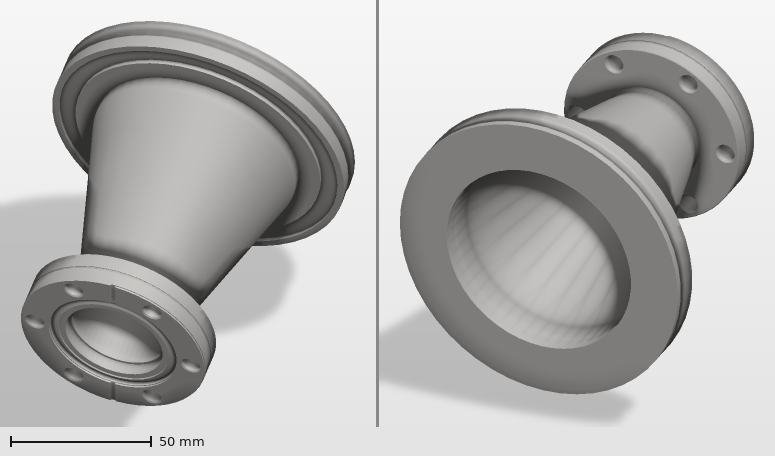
import cadquery as cq
import math

total_length = 103.7
wall = 1.6

small_bore_d = 34.8
large_bore_d = 72.9
small_tube_d = small_bore_d + 2 * wall
large_tube_d = large_bore_d + 2 * wall
small_corner_y = 15.5
large_corner_y = 87.7
bend_radius = 8.8
socket_clearance_d = 0.2

bolted_d = 69.3
bolted_thickness = 12.6
bolted_bore_d = 36.6
small_socket_d = 38.4
small_socket_floor_y = 5.8
gasket_recess_d = 48.3
gasket_entry_depth = 0.7
gasket_lower_d = 47.6
gasket_recess_depth = 2.2
knife_d = 41.6
knife_inner_d = 41.1
knife_tip_depth = 0.8
knife_step = 0.4
rim_groove_start_y = 5.9
rim_groove_width = 0.9
rim_groove_depth = 0.2
bolt_count = 6
bolt_circle_d = 58.7
bolt_hole_d = 6.7
bolt_hole_chamfer = 0.4
leak_slot_width = 2.2
leak_slot_depth = 0.7
rim_step_height = 0.7
rim_step_width = 0.3
back_chamfer = 0.3

clamp_d = 110.0
clamp_face_y = 92.0
face_ring_outer_d = 104.9
face_ring_inner_d = 92.2
face_ring_recess = 1.3
boss_height = 0.3
large_socket_depth = 4.4
clamp_groove_offset = 4.7
clamp_groove_half_width = 2.6
clamp_groove_depth = 1.2


def turned(profile):
    """Revolve a closed (radius, y) profile about the Y axis."""
    return profile.close().revolve(360, (0, 0, 0), (0, 1, 0))


def disc(diameter, start_y, end_y):
    """Solid cylinder on the Y axis."""
    return (
        cq.Workplane("XZ", origin=(0, start_y, 0))
        .circle(diameter / 2)
        .extrude(start_y - end_y)
    )


def cone_body(small_r, large_r, small_y, large_y, small_bend, large_bend, start_y, end_y):
    """Solid with straight ends, a cone between them and a tangent bend at each corner."""
    angle = math.atan2(large_r - small_r, large_y - small_y)
    small_tangent = small_bend * math.tan(angle / 2)
    large_tangent = large_bend * math.tan(angle / 2)
    along_r = math.sin(angle)
    along_y = math.cos(angle)
    return turned(
        cq.Workplane("XY")
        .moveTo(0, start_y)
        .lineTo(small_r, start_y)
        .lineTo(small_r, small_y - small_tangent)
        .tangentArcPoint(
            (small_r + small_tangent * along_r, small_y + small_tangent * along_y), relative=False
        )
        .lineTo(large_r - large_tangent * along_r, large_y - large_tangent * along_y)
        .tangentArcPoint((large_r, large_y + large_tangent), relative=False)
        .lineTo(large_r, end_y)
        .lineTo(0, end_y)
    )


def make_tube():
    start_y = small_socket_floor_y
    end_y = clamp_face_y + large_socket_depth
    cone_angle = math.atan2((large_tube_d - small_tube_d) / 2, large_corner_y - small_corner_y)
    corner_shift = wall * math.tan(cone_angle / 2)
    outside = cone_body(
        small_tube_d / 2, large_tube_d / 2, small_corner_y, large_corner_y,
        bend_radius, bend_radius, start_y, end_y,
    )
    inside = cone_body(
        small_bore_d / 2, large_bore_d / 2, small_corner_y + corner_shift, large_corner_y + corner_shift,
        bend_radius + wall, bend_radius - wall, start_y, end_y,
    )
    return outside.cut(inside)


def make_gasket_seat():
    """Recess cutter whose sloping floor rises to the knife edge around the bore."""
    return turned(
        cq.Workplane("XY")
        .moveTo(0, 0)
        .lineTo(gasket_recess_d / 2, 0)
        .lineTo(gasket_recess_d / 2, gasket_entry_depth)
        .lineTo(gasket_lower_d / 2, gasket_entry_depth)
        .lineTo(gasket_lower_d / 2, gasket_recess_depth)
        .lineTo(knife_d / 2, knife_tip_depth)
        .lineTo(knife_inner_d / 2, knife_tip_depth + knife_step)
        .lineTo(0, knife_tip_depth + knife_step)
    )


def cut_bolt_holes(flange):
    countersink_r = bolt_hole_d / 2 + bolt_hole_chamfer
    hole = disc(bolt_hole_d, 0, bolted_thickness)
    for face_y, inward in ((0, 1), (bolted_thickness, -1)):
        hole = hole.union(turned(
            cq.Workplane("XY")
            .moveTo(0, face_y)
            .lineTo(countersink_r, face_y)
            .lineTo(0, face_y + inward * countersink_r)
        ))
    for index in range(bolt_count):
        angle = index * 2 * math.pi / bolt_count
        x = bolt_circle_d / 2 * math.cos(angle)
        z = bolt_circle_d / 2 * math.sin(angle)
        flange = flange.cut(hole.translate((x, 0, z)))
    return flange


def make_bolted_flange():
    flange = disc(bolted_d, 0, bolted_thickness).faces(">Y").edges().chamfer(back_chamfer)
    flange = flange.cut(disc(bolted_bore_d, 0, bolted_thickness))
    flange = flange.cut(disc(small_socket_d, small_socket_floor_y, bolted_thickness))
    flange = flange.cut(make_gasket_seat())

    groove_end_y = rim_groove_start_y + rim_groove_width
    groove = disc(bolted_d, rim_groove_start_y, groove_end_y)
    groove = groove.cut(disc(bolted_d - 2 * rim_groove_depth, rim_groove_start_y, groove_end_y))
    flange = flange.cut(groove)

    slot_r = ((leak_slot_width / 2)**2 + leak_slot_depth**2) / (2 * leak_slot_depth)
    slot = (
        cq.Workplane("XY")
        .center(0, leak_slot_depth - slot_r)
        .circle(slot_r)
        .extrude(bolted_d / 2, both=True)
    )
    flange = flange.cut(slot)

    rim_step = disc(bolted_d, 0, rim_step_height)
    rim_step = rim_step.cut(disc(bolted_d - 2 * rim_step_width, 0, rim_step_height))
    right_half = cq.Workplane("XY").box(
        bolted_d, 2 * rim_step_height, bolted_d, centered=(False, True, True)
    )
    flange = flange.cut(rim_step.intersect(right_half))
    return cut_bolt_holes(flange)


def make_clamp_groove():
    """Rounded rim groove: a concave floor blending into convex shoulders."""
    rim_r = clamp_d / 2
    floor_r = rim_r - clamp_groove_depth
    middle_r = rim_r - clamp_groove_depth / 2
    center_y = total_length - clamp_groove_offset
    half_floor = clamp_groove_half_width / 2
    rise = clamp_groove_depth / 2
    arc_r = (half_floor**2 + rise**2) / (2 * rise)
    return turned(
        cq.Workplane("XY")
        .moveTo(rim_r, center_y - clamp_groove_half_width)
        .radiusArc((middle_r, center_y - half_floor), -arc_r)
        .threePointArc((floor_r, center_y), (middle_r, center_y + half_floor))
        .radiusArc((rim_r, center_y + clamp_groove_half_width), -arc_r)
    )


def make_clamp_flange():
    shoulder_y = clamp_face_y + large_socket_depth
    flange = disc(clamp_d, clamp_face_y, total_length)

    ring = disc(face_ring_outer_d, clamp_face_y, clamp_face_y + face_ring_recess)
    flange = flange.cut(ring)
    flange = flange.union(disc(face_ring_inner_d, clamp_face_y - boss_height, clamp_face_y + face_ring_recess))

    flange = flange.cut(disc(large_bore_d, clamp_face_y, total_length))
    socket_d = large_tube_d + socket_clearance_d
    flange = flange.cut(disc(socket_d, clamp_face_y - boss_height, shoulder_y))
    return flange.cut(make_clamp_groove())


tube = make_tube()
bolted_flange = make_bolted_flange()
clamp_flange = make_clamp_flange()

result = cq.Compound.makeCompound([tube.val(), bolted_flange.val(), clamp_flange.val()])